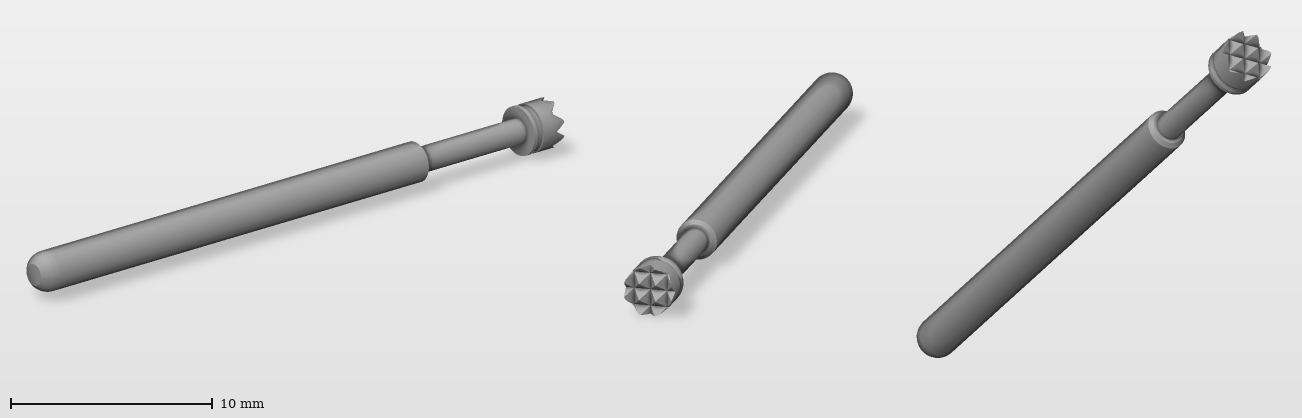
import cadquery as cq

total_length = 33.1
head_diameter = 2.55
stem_diameter = 1.32
sleeve_diameter = 2.1

head_length = 2.05
sleeve_start = 8.45

sleeve_chamfer = 0.2
tail_round_length = 0.83
tail_flat_diameter = 1.13

ring_groove_start = 1.45
ring_groove_width = 0.4
ring_groove_depth = 0.1

serration_depth = 0.63
serrations_per_direction = 3
serration_pitch = head_diameter / serrations_per_direction

tip_y = total_length / 2
tail_y = -total_length / 2
head_radius = head_diameter / 2
stem_radius = stem_diameter / 2
sleeve_radius = sleeve_diameter / 2
tail_flat_radius = tail_flat_diameter / 2


def make_pin_body():
    """Revolve the stepped half profile of head, stem and sleeve about the Y axis."""
    head_back_y = tip_y - head_length
    sleeve_front_y = tip_y - sleeve_start
    groove_front_y = tip_y - ring_groove_start
    groove_middle_y = groove_front_y - ring_groove_width / 2
    groove_back_y = groove_front_y - ring_groove_width
    tail_round_y = tail_y + tail_round_length

    return (
        cq.Workplane("XY")
        .moveTo(0, tip_y)
        .lineTo(head_radius, tip_y)
        .lineTo(head_radius, groove_front_y)
        .lineTo(head_radius - ring_groove_depth, groove_front_y)
        .lineTo(head_radius - ring_groove_depth, groove_middle_y)
        .lineTo(head_radius, groove_back_y)
        .lineTo(head_radius, head_back_y)
        .lineTo(stem_radius, head_back_y)
        .lineTo(stem_radius, sleeve_front_y)
        .lineTo(sleeve_radius - sleeve_chamfer, sleeve_front_y)
        .lineTo(sleeve_radius, sleeve_front_y - sleeve_chamfer)
        .lineTo(sleeve_radius, tail_round_y)
        .tangentArcPoint((tail_flat_radius, tail_y), relative=False)
        .lineTo(0, tail_y)
        .close()
        .revolve(360, (0, 0, 0), (0, 1, 0))
    )


def make_serration_cuts():
    """Return V-shaped prisms along Z, side by side across the head end face."""
    half_pitch = serration_pitch / 2
    cuts = cq.Workplane("XY")
    for index in range(serrations_per_direction):
        center_x = (index - (serrations_per_direction - 1) / 2) * serration_pitch
        cut = (
            cq.Workplane("XY")
            .moveTo(center_x - half_pitch, tip_y)
            .lineTo(center_x, tip_y - serration_depth)
            .lineTo(center_x + half_pitch, tip_y)
            .close()
            .extrude(head_diameter, both=True)
        )
        cuts = cuts.add(cut)
    return cuts.combine()


serrations_along_z = make_serration_cuts()
serrations_along_x = serrations_along_z.rotate((0, 0, 0), (0, 1, 0), 90)

result = make_pin_body().cut(serrations_along_z).cut(serrations_along_x)